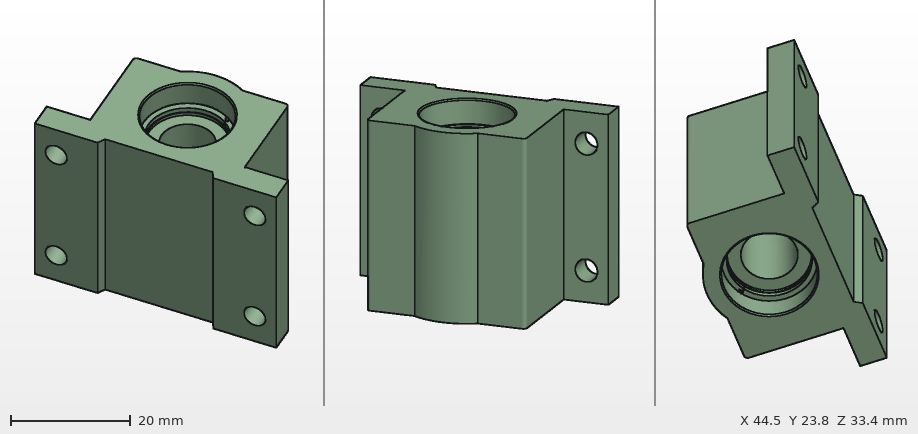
import cadquery as cq


LENGTH = 33.35
BASE_WIDTH = 44.45
BASE_THICKNESS = 4.75
BLOCK_WIDTH = 28.45
BLOCK_HEIGHT = 22.22
AXIS_HEIGHT = 12.65
CROWN_RADIUS = 11.1
BLOCK_CORNER_RADIUS = 0.65
BASE_Y = -AXIS_HEIGHT

RELIEF_FLOOR_WIDTH = 19.8
RELIEF_MOUTH_WIDTH = 21.35
RELIEF_DEPTH = 1.35

HOLE_DIAMETER = 3.95
HOLE_SPACING_X = 36.55
HOLE_SPACING_Z = 22.22

BORE_RADIUS = 8.0
BORE_CHAMFER = 0.25

BEARING_LENGTH = 22.22
SHAFT_DIAMETER = 9.5
END_RECESS_RADIUS = 7.02
END_RECESS_DEPTH = 0.62

GROOVE_WIDTH = 1.15
RING_THICKNESS = 0.9
RING_INNER_RADIUS = 7.15
RING_OUTER_RADIUS = 8.45
RING_CUT_OVERRUN = 0.45
RING_SLIT_WIDTH = 0.15
RING_SLIT_ANGLE = 56.0
NOTCH_FLOOR_RADIUS = 7.7
NOTCH_OFFSET = -0.2
NOTCH_WIDTH = 0.8
GROOVE_CENTRE_Z = (BEARING_LENGTH + GROOVE_WIDTH) / 2
RING_CENTRE_Z = (BEARING_LENGTH + RING_THICKNESS) / 2


def cylinder(radius, height, centre_z=0.0):
    """Solid cylinder on the bore axis, centred at the given height."""
    return cq.Workplane("XY").circle(radius).extrude(height / 2, both=True).translate((0, 0, centre_z))


def relief_channel():
    """Trapezoidal channel cut into the mounting face over the full length."""
    floor_y = BASE_Y + RELIEF_DEPTH
    return (
        cq.Workplane("XY")
        .moveTo(-RELIEF_MOUTH_WIDTH / 2, BASE_Y)
        .lineTo(-RELIEF_FLOOR_WIDTH / 2, floor_y)
        .lineTo(RELIEF_FLOOR_WIDTH / 2, floor_y)
        .lineTo(RELIEF_MOUTH_WIDTH / 2, BASE_Y)
        .close()
        .extrude(LENGTH / 2, both=True)
    )


def mounting_holes():
    """Four holes through the base flanges, parallel to Y."""
    return (
        cq.Workplane("XZ", origin=(0, BASE_Y, 0))
        .rarray(HOLE_SPACING_X, HOLE_SPACING_Z, 2, 2)
        .circle(HOLE_DIAMETER / 2)
        .extrude(-BASE_THICKNESS)
    )


def housing_blank():
    """Flanged base, upright block with rounded corners, and the round crown over the bore."""
    base = cq.Workplane("XY").box(BASE_WIDTH, BASE_THICKNESS, LENGTH)
    base = base.translate((0, BASE_Y + BASE_THICKNESS / 2, 0))
    block = cq.Workplane("XY").box(BLOCK_WIDTH, BLOCK_HEIGHT, LENGTH)
    block = block.edges("|Z and >Y").fillet(BLOCK_CORNER_RADIUS)
    block = block.translate((0, BASE_Y + BLOCK_HEIGHT / 2, 0))
    return base.union(block).union(cylinder(CROWN_RADIUS, LENGTH))


def bore_cavity():
    """Through bore widened by a 45 degree chamfer at each end."""
    end_z = LENGTH / 2
    rim_radius = BORE_RADIUS + BORE_CHAMFER
    return (
        cq.Workplane("XZ")
        .moveTo(0, -end_z)
        .lineTo(rim_radius, -end_z)
        .lineTo(BORE_RADIUS, -end_z + BORE_CHAMFER)
        .lineTo(BORE_RADIUS, end_z - BORE_CHAMFER)
        .lineTo(rim_radius, end_z)
        .lineTo(0, end_z)
        .close()
        .revolve(360, (0, 0, 0), (0, 1, 0))
    )


def make_housing():
    """Housing with its chamfered bore, ring grooves, relief channel and mounting holes."""
    body = housing_blank().cut(bore_cavity())
    for side in (-1, 1):
        body = body.cut(cylinder(RING_OUTER_RADIUS, GROOVE_WIDTH, side * GROOVE_CENTRE_Z))
    return body.cut(relief_channel()).cut(mounting_holes())


def make_bearing():
    """Bearing sleeve with the shaft bore and a shallow recess in each end."""
    sleeve = cylinder(BORE_RADIUS, BEARING_LENGTH).cut(cylinder(SHAFT_DIAMETER / 2, BEARING_LENGTH))
    recess_centre_z = (BEARING_LENGTH - END_RECESS_DEPTH) / 2
    for side in (-1, 1):
        sleeve = sleeve.cut(cylinder(END_RECESS_RADIUS, END_RECESS_DEPTH, side * recess_centre_z))
    return sleeve


def ring_cutter(inner_radius, width, offset):
    """Radial block along +X, from inner_radius past the ring rim, spanning offset to offset + width in Y."""
    reach = RING_OUTER_RADIUS + RING_CUT_OVERRUN - inner_radius
    block = cq.Workplane("XY").box(reach, width, RING_THICKNESS, centered=(False, False, True))
    return block.translate((inner_radius, offset, 0))


def make_retaining_ring(side):
    """Split ring with a removal notch in its rim beside the slit."""
    ring = cylinder(RING_OUTER_RADIUS, RING_THICKNESS).cut(cylinder(RING_INNER_RADIUS, RING_THICKNESS))
    slit = ring_cutter(RING_INNER_RADIUS - RING_CUT_OVERRUN, RING_SLIT_WIDTH, -RING_SLIT_WIDTH / 2)
    notch = ring_cutter(NOTCH_FLOOR_RADIUS, NOTCH_WIDTH, NOTCH_OFFSET)
    ring = ring.cut(slit).cut(notch)
    return ring.rotate((0, 0, 0), (0, 0, 1), RING_SLIT_ANGLE).translate((0, 0, side * RING_CENTRE_Z))


housing = make_housing()
bearing = make_bearing()
retaining_rings = [make_retaining_ring(side) for side in (-1, 1)]

result = cq.Compound.makeCompound(
    [housing.val(), bearing.val(), *[ring.val() for ring in retaining_rings]]
)